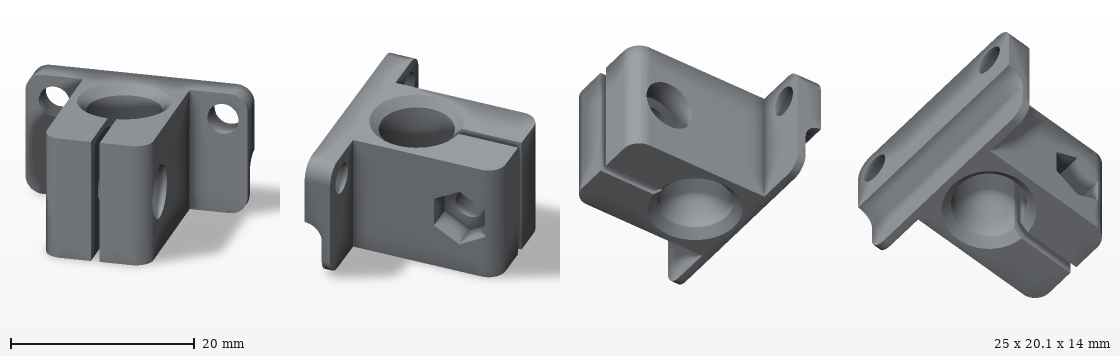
import cadquery as cq
import math

flange_width = 25
height = 14
flange_thickness = 3
corner_radius = 2
mount_hole_diameter = 3.5
mount_hole_spacing = 19
mount_hole_shift = 0.25
mount_hole_drop = 3

relief_depth = 2
relief_height = 6.5

block_width = 12
total_depth = 20.12
bore_diameter = 8.3
bore_setback = 8
bore_chamfer = 1
slot_width = 1

screw_setback = 15.5
screw_hole_diameter = 3.4
head_diameter = 6
head_depth = 3
nut_across_flats = 6
nut_depth = 3


def make_flange():
    flange = (
        cq.Workplane("XY")
        .box(flange_width, flange_thickness, height, centered=(True, False, False))
        .translate((0, -flange_thickness, 0))
        .edges("|Y")
        .fillet(corner_radius)
    )
    first_hole_x = mount_hole_shift - mount_hole_spacing / 2
    hole_z = height - mount_hole_drop
    holes = (
        cq.Workplane("XZ")
        .pushPoints([(first_hole_x, hole_z), (first_hole_x + mount_hole_spacing, hole_z)])
        .circle(mount_hole_diameter / 2)
        .extrude(flange_thickness)
    )
    return flange.cut(holes)


def make_block():
    return (
        cq.Workplane("XY")
        .box(block_width, total_depth, height, centered=(True, False, False))
        .translate((0, -total_depth, 0))
        .edges("|Z and <Y")
        .fillet(corner_radius)
    )


def make_relief():
    """Cutter along the whole flange, rounded by a quarter circle at its top."""
    straight_height = relief_height - relief_depth
    diagonal = relief_depth * math.sqrt(0.5)
    return (
        cq.Workplane("YZ", origin=(-flange_width / 2, 0, 0))
        .lineTo(-relief_depth, 0)
        .lineTo(-relief_depth, straight_height)
        .threePointArc((-diagonal, straight_height + diagonal), (0, relief_height))
        .close()
        .extrude(flange_width)
    )


def make_bore():
    """Revolved cutter for the bore and its chamfers at both ends."""
    bore_radius = bore_diameter / 2
    mouth_radius = bore_radius + bore_chamfer
    profile = [
        (0, 0),
        (mouth_radius, 0),
        (bore_radius, bore_chamfer),
        (bore_radius, height - bore_chamfer),
        (mouth_radius, height),
        (0, height),
    ]
    return (
        cq.Workplane("XZ")
        .polyline(profile)
        .close()
        .revolve(360, (0, 0), (0, 1))
        .translate((0, -bore_setback, 0))
    )


def make_slot():
    slot_length = total_depth - bore_setback
    return (
        cq.Workplane("XY")
        .box(slot_width, slot_length, height, centered=(True, False, False))
        .translate((0, -total_depth, 0))
    )


def make_screw_cutter():
    """Through hole with a hexagonal nut pocket at -X and a round head pocket at +X."""
    side_x = block_width / 2
    nut_across_corners = nut_across_flats / math.cos(math.pi / 6)

    def section_at(x):
        return cq.Workplane("YZ", origin=(x, -screw_setback, height / 2))

    hole = section_at(-side_x).circle(screw_hole_diameter / 2).extrude(block_width)
    nut = (
        section_at(-side_x)
        .transformed(rotate=(0, 0, 90))
        .polygon(6, nut_across_corners)
        .extrude(nut_depth)
    )
    head = section_at(side_x - head_depth).circle(head_diameter / 2).extrude(head_depth)
    return hole.union(nut).union(head)


result = make_flange().union(make_block())
for cutter in (make_relief(), make_bore(), make_slot(), make_screw_cutter()):
    result = result.cut(cutter)